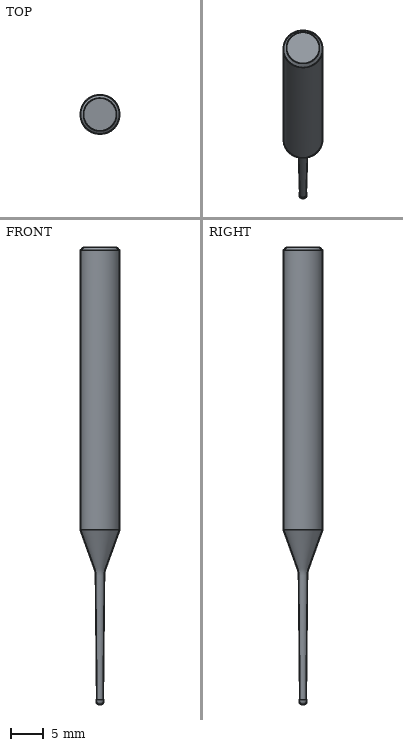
import cadquery as cq

total_length = 70
shank_radius = 3.0
end_chamfer = 0.5

total_half = total_length / 2
tip_z = -total_half
head_top_z = tip_z + 0.8
taper_bottom_z = tip_z + 2.25
neck_top_z = tip_z + 19.9
cone_bottom_z = tip_z + 20.9
cone_top_z = tip_z + 26.75

ball_radius = 0.6
neck_bottom_radius = 0.525
neck_top_radius = 0.7
cone_bottom_radius = 0.9

blend_height = cone_bottom_z - neck_top_z
blend_rise = cone_bottom_radius - neck_top_radius
blend_radius = (blend_height**2 + blend_rise**2) / (2 * blend_rise)


def make_shank():
    """Cylindrical shank with its cone, blend and slender tapered neck."""
    return (
        cq.Workplane("XZ")
        .moveTo(0, head_top_z)
        .lineTo(neck_bottom_radius, head_top_z)
        .lineTo(neck_bottom_radius, taper_bottom_z)
        .lineTo(neck_top_radius, neck_top_z)
        .radiusArc((cone_bottom_radius, cone_bottom_z), blend_radius)
        .lineTo(shank_radius, cone_top_z)
        .lineTo(shank_radius, total_half - end_chamfer)
        .lineTo(shank_radius - end_chamfer, total_half)
        .lineTo(0, total_half)
        .close()
        .revolve(360, (0, 0, 0), (0, 1, 0))
    )


def make_cutting_head():
    """Short cylindrical cutter with a hemispherical nose."""
    return (
        cq.Workplane("XZ")
        .moveTo(0, tip_z)
        .radiusArc((ball_radius, tip_z + ball_radius), -ball_radius)
        .lineTo(ball_radius, head_top_z)
        .lineTo(0, head_top_z)
        .close()
        .revolve(360, (0, 0, 0), (0, 1, 0))
    )


shank = make_shank()
cutting_head = make_cutting_head()
result = cq.Compound.makeCompound([shank.val(), cutting_head.val()])